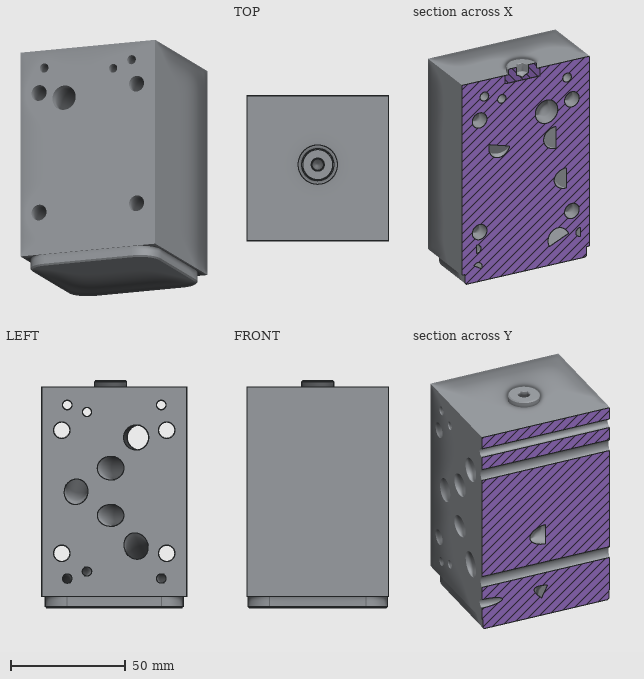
import cadquery as cq
import math

BLOCK_X = 61.9
BLOCK_Y = 63.5
BLOCK_Z = 91.8

PAD_X = 61.1
PAD_Y = 60.5
PAD_HEIGHT = 4.9
PAD_CORNER_RADIUS = 9.5
PAD_CHAMFER = 0.7

PLUG_Y = 1.6
FLANGE_DIAMETER = 17.2
FLANGE_DEPTH = 4.0
HEAD_DIAMETER = 14.1
HEAD_CHAMFER = 0.5
SOCKET_ACROSS_FLATS = 5.0
SOCKET_DEPTH = 4.0
SOCKET_TIP_ANGLE = 120

BOLT_HOLE_DIAMETER = 7.1
BOLT_OFFSET_Y = 22.9
BOLT_OFFSET_Z = 26.9
CORNER_HOLE_DIAMETER = 4.1
CORNER_OFFSET_Y = 20.6
CORNER_OFFSET_Z = 37.9
PILOT_HOLE_DIAMETER = 3.9
PILOT_Y = 11.9
PILOT_OFFSET_Z = 34.9

PORT_DIAMETER = 10.3
LOWER_CENTRE_PORT_DIAMETER = 9.5
SIDE_PORT_DIAMETER = 10.9
CENTRE_PORT_OFFSET_Z = 10.3
SIDE_PORT_Y = -9.5
SIDE_PORT_OFFSET_Z = 23.7
LEFT_PORT_Y = 16.7

UPPER_SIDE_TILT = 1.5
LOWER_SIDE_TILT = 29
UPPER_CENTRE_TILT = 28
LOWER_CENTRE_TILT = 35
LEFT_TILT = 23
LOW_CORNER_TILT = 12
LOW_PILOT_TILT = 22

TO_PLUS_Y = 0
TO_MINUS_Y = 180
LOWER_SIDE_HEADING = -114
LEFT_HEADING = 106
LOW_CORNER_HEADING = -60

TOTAL_HEIGHT = 99.3
BLOCK_TOP = PAD_HEIGHT + BLOCK_Z
MIDDLE_Z = PAD_HEIGHT + BLOCK_Z / 2
HEAD_HEIGHT = TOTAL_HEIGHT - BLOCK_TOP
OVERRUN = 6.0
THROUGH_REACH = BLOCK_X + OVERRUN
BLIND_REACH = BLOCK_X / 2


def passage(y, z, diameter, tilt, heading, reach):
    """Round bore through (y, z) on the -X face, tilted away from +X.

    heading turns the lean about X, from +Y towards +Z.
    reach is how far the axis goes in X.
    """
    tilt = math.radians(tilt)
    heading = math.radians(heading)
    axis = cq.Vector(
        math.cos(tilt),
        math.sin(tilt) * math.cos(heading),
        math.sin(tilt) * math.sin(heading),
    )
    mouth = cq.Vector(-BLOCK_X / 2, y, z)
    length = reach / math.cos(tilt) + OVERRUN
    return cq.Solid.makeCylinder(diameter / 2, length, mouth - axis * OVERRUN, axis)


def through_hole(y, z, diameter):
    return passage(y, z, diameter, 0, TO_PLUS_Y, THROUGH_REACH)


def straight_holes():
    upper_corner = MIDDLE_Z + CORNER_OFFSET_Z
    holes = [through_hole(PILOT_Y, MIDDLE_Z + PILOT_OFFSET_Z, PILOT_HOLE_DIAMETER)]
    for side in (-1, 1):
        holes.append(through_hole(side * CORNER_OFFSET_Y, upper_corner, CORNER_HOLE_DIAMETER))
        for level in (-1, 1):
            bolt_z = MIDDLE_Z + level * BOLT_OFFSET_Z
            holes.append(through_hole(side * BOLT_OFFSET_Y, bolt_z, BOLT_HOLE_DIAMETER))
    return holes


def slanted_ports():
    """One slanted passage right through the block and four blind ones."""
    upper_side = MIDDLE_Z + SIDE_PORT_OFFSET_Z
    lower_side = MIDDLE_Z - SIDE_PORT_OFFSET_Z
    upper_centre = MIDDLE_Z + CENTRE_PORT_OFFSET_Z
    lower_centre = MIDDLE_Z - CENTRE_PORT_OFFSET_Z
    return [
        passage(SIDE_PORT_Y, upper_side, SIDE_PORT_DIAMETER, UPPER_SIDE_TILT, TO_MINUS_Y, THROUGH_REACH),
        passage(SIDE_PORT_Y, lower_side, PORT_DIAMETER, LOWER_SIDE_TILT, LOWER_SIDE_HEADING, BLIND_REACH),
        passage(PLUG_Y, upper_centre, PORT_DIAMETER, UPPER_CENTRE_TILT, TO_MINUS_Y, BLIND_REACH),
        passage(PLUG_Y, lower_centre, LOWER_CENTRE_PORT_DIAMETER, LOWER_CENTRE_TILT, TO_MINUS_Y, BLIND_REACH),
        passage(LEFT_PORT_Y, MIDDLE_Z, PORT_DIAMETER, LEFT_TILT, LEFT_HEADING, BLIND_REACH),
    ]


def slanted_small_holes():
    """Blind slanted holes in the two lower corners and below the pilot hole."""
    corner_z = MIDDLE_Z - CORNER_OFFSET_Z
    pilot_z = MIDDLE_Z - PILOT_OFFSET_Z
    holes = [passage(PILOT_Y, pilot_z, PILOT_HOLE_DIAMETER, LOW_PILOT_TILT, TO_PLUS_Y, BLIND_REACH)]
    for side, heading in ((1, LOW_CORNER_HEADING), (-1, TO_MINUS_Y)):
        holes.append(passage(
            side * CORNER_OFFSET_Y, corner_z, CORNER_HOLE_DIAMETER, LOW_CORNER_TILT, heading, BLIND_REACH))
    return holes


def flange_disc():
    """Plug flange, which is also the shape of its recess in the block."""
    return (
        cq.Workplane("XY").workplane(offset=BLOCK_TOP - FLANGE_DEPTH)
        .center(0, PLUG_Y).circle(FLANGE_DIAMETER / 2).extrude(FLANGE_DEPTH)
    )


def make_housing():
    block = cq.Workplane("XY").workplane(offset=PAD_HEIGHT).box(
        BLOCK_X, BLOCK_Y, BLOCK_Z, centered=(True, True, False))
    pad = (
        cq.Workplane("XY").box(PAD_X, PAD_Y, PAD_HEIGHT, centered=(True, True, False))
        .edges("|Z").fillet(PAD_CORNER_RADIUS)
        .faces("<Z").edges().chamfer(PAD_CHAMFER)
    )
    housing = block.union(pad).cut(flange_disc())
    for hole in straight_holes() + slanted_ports() + slanted_small_holes():
        housing = housing.cut(cq.Workplane(hole))
    return housing


def make_socket():
    """Hexagonal key socket with corners on Y, a countersunk rim and a conical end."""
    corner_radius = SOCKET_ACROSS_FLATS / math.sqrt(3)
    floor = TOTAL_HEIGHT - SOCKET_DEPTH
    hexagon = (
        cq.Workplane("XY").workplane(offset=floor).center(0, PLUG_Y)
        .transformed(rotate=(0, 0, 90)).polygon(6, 2 * corner_radius).extrude(SOCKET_DEPTH)
    )
    tip_radius = SOCKET_ACROSS_FLATS / 2
    tip_depth = tip_radius / math.tan(math.radians(SOCKET_TIP_ANGLE / 2))
    tip = cq.Solid.makeCone(
        tip_radius, 0, tip_depth, cq.Vector(0, PLUG_Y, floor), cq.Vector(0, 0, -1))
    rim_depth = corner_radius - tip_radius
    rim = cq.Solid.makeCone(
        corner_radius, tip_radius, rim_depth, cq.Vector(0, PLUG_Y, TOTAL_HEIGHT), cq.Vector(0, 0, -1))
    return hexagon.union(cq.Workplane(tip)).union(cq.Workplane(rim))


def make_plug():
    head = (
        cq.Workplane("XY").workplane(offset=BLOCK_TOP)
        .center(0, PLUG_Y).circle(HEAD_DIAMETER / 2).extrude(HEAD_HEIGHT)
        .faces(">Z").edges().chamfer(HEAD_CHAMFER)
    )
    return flange_disc().union(head).cut(make_socket())


housing = make_housing()
plug = make_plug()

result = cq.Compound.makeCompound([housing.val(), plug.val()])